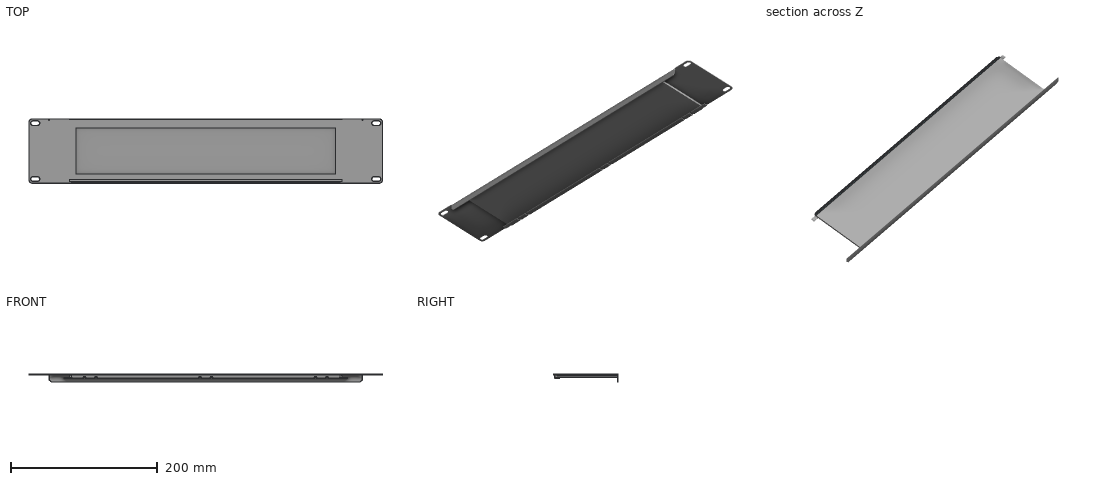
import cadquery as cq

sheet = 1.0
inner_bend = 1.0
outer_bend = inner_bend + sheet

panel_length = 482.5
panel_depth = 88.0
panel_height = 11.0
panel_corner_radius = 5.0
flange_length = 427.0
flange_corner_chamfer = 3.0
relief_width = 0.5
window_length = 354.0
window_depth = 63.0
mount_slot_length = 12.0
mount_slot_width = 6.0
mount_spacing_x = 465.1
mount_spacing_y = 76.2

pane_length = 371.0
pane_thickness = 3.0
pane_top = -outer_bend
pane_bottom = pane_top - pane_thickness

rail_wall_length = 366.0
rail_lip_length = 386.0
rail_setback = 1.25
rail_lip_depth = 7.25
tab_width = 12.5
tab_spacing = 157.5
tab_slit_width = 3.0
slit_overrun = 0.5

panel_back = panel_depth / 2
flange_inside = panel_back - sheet
rail_front = -panel_depth / 2 + rail_setback
rail_inside = rail_front + sheet
rail_bottom = pane_bottom - sheet
bend_top = rail_bottom + outer_bend
lip_front = rail_front + outer_bend
slit_height = outer_bend + slit_overrun


def make_flange():
    """Back flange, turned down from the panel through a rounded bend."""
    bend_start = panel_back - outer_bend
    profile = (
        cq.Workplane("YZ")
        .moveTo(bend_start, 0)
        .radiusArc((panel_back, -outer_bend), outer_bend)
        .lineTo(panel_back, -panel_height)
        .lineTo(flange_inside, -panel_height)
        .lineTo(flange_inside, -outer_bend)
        .radiusArc((bend_start, -sheet), -inner_bend)
        .close()
    )
    flange = profile.extrude(flange_length / 2, both=True)
    return flange.edges("|Y and <Z").chamfer(flange_corner_chamfer)


def make_panel():
    """Flat plate with window, mounting slots and the back flange."""
    plate = (
        cq.Workplane("XY")
        .rect(panel_length, panel_depth)
        .extrude(-sheet)
        .edges("|Z")
        .fillet(panel_corner_radius)
    )
    bend_clearance = (
        cq.Workplane("XY")
        .center(0, panel_back - outer_bend / 2)
        .rect(flange_length + 2 * relief_width, outer_bend)
        .extrude(-sheet)
    )
    window = cq.Workplane("XY").rect(window_length, window_depth).extrude(-sheet)
    mount_slots = (
        cq.Workplane("XY")
        .rarray(mount_spacing_x, mount_spacing_y, 2, 2)
        .slot2D(mount_slot_length, mount_slot_width)
        .extrude(-sheet)
    )
    return plate.cut(bend_clearance).cut(window).cut(mount_slots).union(make_flange())


def make_pane():
    """L-shaped pane: a flat sheet whose front rim rises to the underside of the panel."""
    rim_back = rail_inside + pane_thickness
    profile = (
        cq.Workplane("YZ")
        .moveTo(flange_inside, pane_bottom)
        .lineTo(flange_inside, pane_top)
        .lineTo(rim_back, pane_top)
        .lineTo(rim_back, -sheet)
        .lineTo(rail_inside, -sheet)
        .lineTo(rail_inside, bend_top)
        .radiusArc((lip_front, pane_bottom), -inner_bend)
        .close()
    )
    return profile.extrude(pane_length / 2, both=True)


def make_rail():
    """J-shaped rail whose lip is slit on both sides of three tabs."""
    wall_and_bend = (
        cq.Workplane("YZ")
        .moveTo(rail_front, -sheet)
        .lineTo(rail_front, bend_top)
        .radiusArc((lip_front, rail_bottom), -outer_bend)
        .lineTo(lip_front, pane_bottom)
        .radiusArc((rail_inside, bend_top), inner_bend)
        .lineTo(rail_inside, -sheet)
        .close()
        .extrude(rail_wall_length / 2, both=True)
    )
    lip_length_y = rail_lip_depth - outer_bend
    lip = (
        cq.Workplane("XY", origin=(0, lip_front, rail_bottom))
        .box(rail_lip_length, lip_length_y, sheet, centered=(True, False, False))
    )
    rail = wall_and_bend.union(lip)
    slit = (
        cq.Workplane("XY", origin=(0, rail_front, rail_bottom))
        .box(tab_slit_width, rail_lip_depth, slit_height, centered=(True, False, False))
    )
    for tab_center in (-tab_spacing, 0, tab_spacing):
        for side in (-1, 1):
            offset = side * (tab_width + tab_slit_width) / 2
            rail = rail.cut(slit.translate((tab_center + offset, 0, 0)))
    return rail


panel = make_panel()
pane = make_pane()
rail = make_rail()

result = cq.Compound.makeCompound([panel.val(), pane.val(), rail.val()])